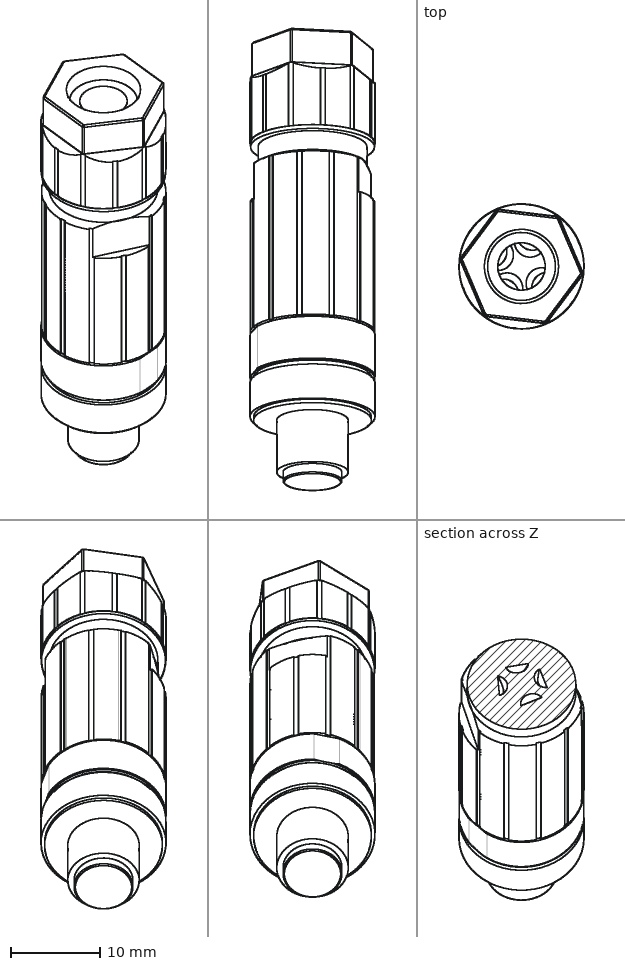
import cadquery as cq
import math

TOTAL_HEIGHT = 51.24
SLEEVE_BOTTOM = 1.15
COUPLING_LIP_BOTTOM = 7.24
COUPLING_BOTTOM = 7.65
COUPLING_TOP = 11.65
RING_BOTTOM = 12.24
RING_TOP = 17.24
BODY_BOTTOM = 17.5
BODY_TOP = 36.65
NECK_BOTTOM = 37.1
NUT_BOTTOM = 39.3
NUT_GROOVE_BOTTOM = 39.74
HEX_BOTTOM = 47.24

OUTER_RADIUS = 7.0
PLUG_TIP_RADIUS = 3.3
SLEEVE_RADIUS = 4.0
COUPLING_LIP_RADIUS = 6.6
RING_GAP_RADIUS = 6.4
NECK_RADIUS = 6.1
PLUG_TIP_CHAMFER = 0.15
RING_CHAMFER = 0.1

RING_FLAT_DISTANCE = 6.85
WRENCH_FLAT_DISTANCE = 6.0
WRENCH_FLAT_HEIGHT = 4.0

GROOVE_COUNT = 12
GROOVE_PITCH = 360 / GROOVE_COUNT
GROOVE_WIDTH = 0.55
BODY_GROOVE_DEPTH = 0.13
NUT_GROOVE_DEPTH = 0.06
BODY_TURN = 1.5
NUT_TURN = -6.8

PANEL_RECESS = 0.07
PANEL_ANGLE = 240.0
PANEL_MARGIN = 2.2
PANEL_SLOPE_ANGLE = 2.5

HEX_SIDES = 6
HEX_ACROSS_FLATS = 12.0
HEX_CORNER_RADIUS = 6.86
HEX_TOP_CHAMFER = 0.2
HEX_SHOULDER_DROP_PER_MM = 0.9
HEX_SHOULDER_LEDGE = 0.04

ENTRY_TOP_RADIUS = 4.15
ENTRY_BOTTOM_RADIUS = 3.8
ENTRY_DEPTH = 1.65
BORE_RADIUS = 2.65
BORE_DEPTH = 10.0

FUNNEL_ANGLES = (71.0, 154.0, 237.0, 320.0)
FUNNEL_CENTER_DISTANCE = 2.95
FUNNEL_TOP_RADIUS = 1.75
FUNNEL_BOTTOM_RADIUS = 0.95
FUNNEL_DEPTH = 2.0
FUNNEL_FLOOR_WIDTH = 0.05
FUNNEL_RAMP_RUN = 1.0


def cylinder(radius, bottom, top):
    return cq.Workplane("XY").workplane(offset=bottom).circle(radius).extrude(top - bottom)


def cone(bottom_radius, top_radius, bottom, top):
    return cq.Workplane("XY").add(
        cq.Solid.makeCone(bottom_radius, top_radius, top - bottom, cq.Vector(0, 0, bottom))
    )


def cut_grooves(part, bottom, top, depth):
    for i in range(GROOVE_COUNT):
        groove = (
            cq.Workplane("XY")
            .box(2 * depth, GROOVE_WIDTH, top - bottom, centered=(True, True, False))
            .translate((OUTER_RADIUS, 0, bottom))
            .rotate((0, 0, 0), (0, 0, 1), i * GROOVE_PITCH)
        )
        part = part.cut(groove)
    return part


def flat_pair(distance, bottom, top, angle):
    """Slab that keeps what lies between two parallel flats."""
    return (
        cq.Workplane("XY")
        .box(2 * distance, 4 * OUTER_RADIUS, top - bottom, centered=(True, True, False))
        .rotate((0, 0, 0), (0, 0, 1), angle)
        .translate((0, 0, bottom))
    )


def make_plug_end():
    tip = cylinder(PLUG_TIP_RADIUS, 0, SLEEVE_BOTTOM).faces("<Z").chamfer(PLUG_TIP_CHAMFER)
    sleeve = cylinder(SLEEVE_RADIUS, SLEEVE_BOTTOM, COUPLING_LIP_BOTTOM)
    lip = cylinder(COUPLING_LIP_RADIUS, COUPLING_LIP_BOTTOM, RING_BOTTOM)
    coupling = cylinder(OUTER_RADIUS, COUPLING_BOTTOM, COUPLING_TOP)
    return tip.union(sleeve).union(lip).union(coupling)


def make_ring():
    ring = cylinder(OUTER_RADIUS, RING_BOTTOM, RING_TOP).faces("<Z").chamfer(RING_CHAMFER)
    ring = ring.intersect(flat_pair(RING_FLAT_DISTANCE, RING_BOTTOM, RING_TOP, 0))
    return ring.union(cylinder(RING_GAP_RADIUS, RING_TOP, BODY_BOTTOM))


def make_panel_recess():
    """Shallow arc band over two lands, with ends that slope up to the body surface."""
    floor_radius = OUTER_RADIUS - PANEL_RECESS
    outer_start = GROOVE_PITCH - PANEL_MARGIN
    inner_start = outer_start - PANEL_SLOPE_ANGLE

    def point(radius, angle):
        return (
            radius * math.cos(math.radians(PANEL_ANGLE + angle)),
            radius * math.sin(math.radians(PANEL_ANGLE + angle)),
        )

    return (
        cq.Workplane("XY")
        .workplane(offset=BODY_BOTTOM)
        .moveTo(*point(OUTER_RADIUS, -outer_start))
        .lineTo(*point(floor_radius, -inner_start))
        .threePointArc(point(floor_radius, 0), point(floor_radius, inner_start))
        .lineTo(*point(OUTER_RADIUS, outer_start))
        .threePointArc(point(OUTER_RADIUS, 0), point(OUTER_RADIUS, -outer_start))
        .close()
        .extrude(NECK_BOTTOM - BODY_BOTTOM)
    )


def make_body():
    body = cylinder(OUTER_RADIUS, BODY_BOTTOM, BODY_TOP)
    body = body.union(cone(OUTER_RADIUS, NECK_RADIUS, BODY_TOP, NECK_BOTTOM))
    body = body.cut(make_panel_recess())
    body = cut_grooves(body, BODY_BOTTOM, NECK_BOTTOM, BODY_GROOVE_DEPTH)
    flat_bottom = BODY_TOP - WRENCH_FLAT_HEIGHT
    lower = cylinder(2 * OUTER_RADIUS, BODY_BOTTOM, flat_bottom)
    keep = lower.union(flat_pair(WRENCH_FLAT_DISTANCE, flat_bottom, NECK_BOTTOM, -GROOVE_PITCH))
    body = body.intersect(keep).union(cylinder(NECK_RADIUS, NECK_BOTTOM, NUT_BOTTOM))
    return body.rotate((0, 0, 0), (0, 0, 1), BODY_TURN)


def hexagon(across_flats, z):
    circumdiameter = across_flats / math.cos(math.pi / HEX_SIDES)
    return cq.Workplane("XY").workplane(offset=z).polygon(HEX_SIDES, circumdiameter)


def make_nut():
    head = hexagon(HEX_ACROSS_FLATS, HEX_BOTTOM).extrude(TOTAL_HEIGHT - HEX_BOTTOM)
    head = head.intersect(cylinder(HEX_CORNER_RADIUS, HEX_BOTTOM, TOTAL_HEIGHT))
    head = head.faces(">Z").chamfer(HEX_TOP_CHAMFER)

    skirt_height = HEX_BOTTOM - NUT_BOTTOM
    shoulder_width = HEX_ACROSS_FLATS + 2 * HEX_SHOULDER_LEDGE
    shoulder_base = shoulder_width + 2 * skirt_height / HEX_SHOULDER_DROP_PER_MM
    shoulder_taper = math.degrees(math.atan(1 / HEX_SHOULDER_DROP_PER_MM))
    pyramid = hexagon(shoulder_base, NUT_BOTTOM).extrude(skirt_height, taper=shoulder_taper)

    lands = cylinder(OUTER_RADIUS, NUT_GROOVE_BOTTOM, HEX_BOTTOM)
    lands = cut_grooves(lands, NUT_GROOVE_BOTTOM, HEX_BOTTOM, NUT_GROOVE_DEPTH)
    collar = cylinder(OUTER_RADIUS - NUT_GROOVE_DEPTH, NUT_BOTTOM, NUT_GROOVE_BOTTOM)
    nut = head.union(lands.union(collar).intersect(pyramid))
    return nut.rotate((0, 0, 0), (0, 0, 1), NUT_TURN)


def make_funnel(floor):
    """Tapered wire pocket whose outer side is a flat ramp."""
    bottom = floor - FUNNEL_DEPTH
    taper = cone(FUNNEL_BOTTOM_RADIUS, FUNNEL_TOP_RADIUS, bottom, floor)
    taper = taper.translate((FUNNEL_CENTER_DISTANCE, 0, 0))
    ramp_foot = FUNNEL_CENTER_DISTANCE - FUNNEL_BOTTOM_RADIUS + FUNNEL_FLOOR_WIDTH
    inner_side = (
        cq.Workplane("XZ")
        .polyline([(0, bottom), (ramp_foot, bottom), (ramp_foot + FUNNEL_RAMP_RUN, floor), (0, floor)])
        .close()
        .extrude(FUNNEL_TOP_RADIUS, both=True)
    )
    return taper.intersect(inner_side)


def cut_cable_entry(part):
    ledge = TOTAL_HEIGHT - ENTRY_DEPTH
    floor = ledge - BORE_DEPTH
    part = part.cut(cone(ENTRY_BOTTOM_RADIUS, ENTRY_TOP_RADIUS, ledge, TOTAL_HEIGHT))
    part = part.cut(cylinder(BORE_RADIUS, floor, ledge))
    funnel = make_funnel(floor)
    for angle in FUNNEL_ANGLES:
        part = part.cut(funnel.rotate((0, 0, 0), (0, 0, 1), angle))
    return part


connector = make_plug_end().union(make_ring()).union(make_body()).union(make_nut())
result = cut_cable_entry(connector)